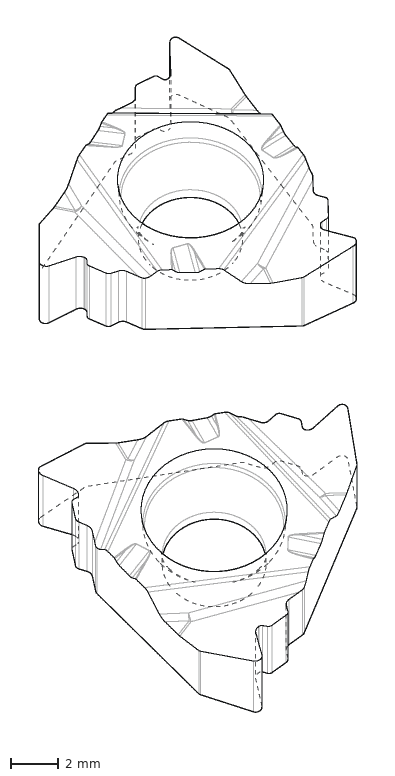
import cadquery as cq
import math

CORNERS = 3
TURN = 360 / CORNERS
HEIGHT = 4.1
SIDE_DISTANCE = 4.76
REACH = 26.82

SHOULDER_Y = -4.63
TOOTH_FLANK_ANGLE = 61.5
TOOTH_BACK_ANGLE = 60.5
TOOTH_APEX_X = -3.37
TOOTH_TIP_RADIUS = 0.27
GULLET_Y = -5.42
CREST_Y = -5.78
CREST_LEFT_X = -1.84
CREST_RIGHT_X = -0.8
STEP_Y = -5.18
STEP_ANGLE = 60.0
SHOULDER_RADIUS = 0.17
GULLET_ENTRY_RADIUS = 0.34
GULLET_EXIT_RADIUS = 0.15
CREST_LEFT_RADIUS = 0.2
CREST_RIGHT_RADIUS = 0.23
STEP_RADIUS = 0.34
STEP_END_RADIUS = 0.27

WALL_TOP_Y = -1.2
WALL_DIRECTION = -31.9
WALL_SLOPE = 53.0
WALL_TOP_RADIUS = 0.23
CHANNEL_FOOT_RADIUS = 0.36
RAKE_SLOPE = 15.0
FLOOR_START_Y = -3.3
FLOOR_Z = 3.02
FLOOR_DIP = 5.0

NOTCH_Y = 0.25
NOTCH_WIDTH = 0.85
NOTCH_DEPTH = 0.23
NOTCH_HEADING = 12.3
NOTCH_RISE = 10.0
NOTCH_ROLL = 1.0
NOTCH_WALL_SLOPE = 42.0
NOTCH_FOOT_RADIUS = 0.27
NOTCH_RIM_RADIUS = 0.07
NOTCH_CUT_HEIGHT = 0.8
NOTCH_CUT_LENGTH = 2.68
NOTCH_RIM_REACH = 1.61
EDGE_MARGIN = 0.01

HOLE_DIAMETER = 4.4
SEAT_DIAMETER = 6.17
SEAT_FOOT_RADIUS = 3.0
SEAT_CURVE_RADIUS = 4.02
SEAT_CURVE_START_Z = 0.55
SEAT_FILLET = 0.4


def tan(degrees):
    return math.tan(math.radians(degrees))


def turned(point, degrees):
    x, y = point
    c = math.cos(math.radians(degrees))
    s = math.sin(math.radians(degrees))
    return (x * c - y * s, x * s + y * c)


def corner_points():
    """Sharp corners of one third of the outline, each with its rounding radius."""
    apex_y = SHOULDER_Y - (TOOTH_APEX_X + SIDE_DISTANCE) * tan(TOOTH_FLANK_ANGLE)
    gullet_entry_x = TOOTH_APEX_X + (GULLET_Y - apex_y) / tan(TOOTH_BACK_ANGLE)
    gullet_exit_x = CREST_LEFT_X - (GULLET_Y - CREST_Y) / tan(STEP_ANGLE)
    step_x = CREST_RIGHT_X + (STEP_Y - CREST_Y) / tan(STEP_ANGLE)
    next_normal = turned((-1, 0), TURN)
    step_end_x = (SIDE_DISTANCE - STEP_Y * next_normal[1]) / next_normal[0]
    return [
        ((-SIDE_DISTANCE, SHOULDER_Y), SHOULDER_RADIUS),
        ((TOOTH_APEX_X, apex_y), TOOTH_TIP_RADIUS),
        ((gullet_entry_x, GULLET_Y), GULLET_ENTRY_RADIUS),
        ((gullet_exit_x, GULLET_Y), GULLET_EXIT_RADIUS),
        ((CREST_LEFT_X, CREST_Y), CREST_LEFT_RADIUS),
        ((CREST_RIGHT_X, CREST_Y), CREST_RIGHT_RADIUS),
        ((step_x, STEP_Y), STEP_RADIUS),
        ((step_end_x, STEP_Y), STEP_END_RADIUS),
    ]


def rounding_arc(before, corner, after, radius):
    """Start, middle and end of the arc that rounds a corner."""
    corner = cq.Vector(*corner)
    back = (cq.Vector(*before) - corner).normalized()
    ahead = (cq.Vector(*after) - corner).normalized()
    half_angle = back.getAngle(ahead) / 2
    tangent_length = radius / math.tan(half_angle)
    middle_distance = radius / math.sin(half_angle) - radius
    inward = (back + ahead).normalized()
    return (
        corner + back * tangent_length,
        corner + inward * middle_distance,
        corner + ahead * tangent_length,
    )


def make_body():
    corners = []
    for k in range(CORNERS):
        for point, radius in corner_points():
            corners.append((turned(point, k * TURN), radius))
    arcs = []
    for i, (point, radius) in enumerate(corners):
        before = corners[i - 1][0]
        after = corners[(i + 1) % len(corners)][0]
        arcs.append(rounding_arc(before, point, after, radius))
    outline = cq.Workplane("XY").moveTo(*arcs[-1][2].toTuple()[:2])
    for start, middle, end in arcs:
        outline = outline.lineTo(start.x, start.y)
        outline = outline.threePointArc((middle.x, middle.y), (end.x, end.y))
    return outline.close().extrude(HEIGHT)


def space_above(point, normal):
    """A large block that fills the side of a plane to which its normal points."""
    plane = cq.Plane(origin=point, normal=normal)
    return cq.Workplane(plane).rect(REACH, REACH).extrude(REACH)


def make_channel():
    """The space above the wall, rake and floor planes, with the edges between them rounded."""
    outward = turned((0, -1), WALL_DIRECTION)
    steepness = tan(WALL_SLOPE)
    wall_normal = (outward[0] * steepness, outward[1] * steepness, 1)
    floor_start = (-SIDE_DISTANCE, FLOOR_START_Y, FLOOR_Z)
    wall = space_above((-SIDE_DISTANCE, WALL_TOP_Y, HEIGHT), wall_normal)
    rake = space_above(floor_start, (0, tan(RAKE_SLOPE), 1))
    floor = space_above(floor_start, (tan(FLOOR_DIP), 0, 1))
    channel = wall.intersect(rake).intersect(floor)
    return channel.vertices("<Z").ancestors("Edge").fillet(CHANNEL_FOOT_RADIUS)


def make_notch():
    """A flaring trough that runs inward and upward until it fades out in the top face."""
    heading = math.radians(NOTCH_HEADING)
    axis = (math.cos(heading), math.sin(heading), tan(NOTCH_RISE))
    across = (-math.sin(heading), math.cos(heading), 0)
    start = (-SIDE_DISTANCE, NOTCH_Y, HEIGHT - NOTCH_DEPTH)
    plane = cq.Plane(origin=start, xDir=across, normal=axis).rotated((0, 0, NOTCH_ROLL))
    half_bottom = NOTCH_WIDTH / 2
    half_top = half_bottom + NOTCH_CUT_HEIGHT / tan(NOTCH_WALL_SLOPE)
    section = [
        (-half_bottom, 0),
        (half_bottom, 0),
        (half_top, NOTCH_CUT_HEIGHT),
        (-half_top, NOTCH_CUT_HEIGHT),
    ]
    notch = cq.Workplane(plane).polyline(section).close().extrude(NOTCH_CUT_LENGTH, both=True)
    for x in (-half_bottom, half_bottom):
        foot = cq.NearestToPointSelector(plane.toWorldCoords((x, 0, 0)).toTuple())
        notch = notch.edges(foot).fillet(NOTCH_FOOT_RADIUS)
    return notch


def make_hole():
    """Tapered seat, rounded lead-in and straight hole, turned about the Z axis."""
    hole_radius = HOLE_DIAMETER / 2
    foot_angle = math.acos(1 - (SEAT_FOOT_RADIUS - hole_radius) / SEAT_CURVE_RADIUS)

    def on_curve(angle):
        return (
            hole_radius + SEAT_CURVE_RADIUS * (1 - math.cos(angle)),
            SEAT_CURVE_START_Z + SEAT_CURVE_RADIUS * math.sin(angle),
        )

    foot = on_curve(foot_angle)
    hole = (
        cq.Workplane("XZ")
        .lineTo(hole_radius, 0)
        .lineTo(hole_radius, SEAT_CURVE_START_Z)
        .threePointArc(on_curve(foot_angle / 2), foot)
        .lineTo(SEAT_DIAMETER / 2, HEIGHT)
        .lineTo(0, HEIGHT)
        .close()
        .revolve(360, (0, 0), (0, 1))
    )
    return hole.faces("%CONE").edges("<Z").fillet(SEAT_FILLET)


def wall_top_edge():
    """Selects the sharp edge between the top face and the channel wall."""
    distance_in = SIDE_DISTANCE / 2
    y = WALL_TOP_Y + distance_in * tan(WALL_DIRECTION)
    return cq.NearestToPointSelector((distance_in - SIDE_DISTANCE, y, HEIGHT))


def notch_rim():
    """Selects the edges of the notch in the top face, but not the edge along the flat side."""
    return cq.selectors.BoxSelector(
        (EDGE_MARGIN - SIDE_DISTANCE, NOTCH_Y - NOTCH_RIM_REACH, HEIGHT - EDGE_MARGIN),
        (NOTCH_RIM_REACH - SIDE_DISTANCE, NOTCH_Y + NOTCH_RIM_REACH, HEIGHT + EDGE_MARGIN),
    )


channel = make_channel()
notch = make_notch()
body = make_body()
for _ in range(CORNERS):
    body = body.cut(channel)
    body = body.edges(wall_top_edge()).fillet(WALL_TOP_RADIUS)
    body = body.cut(notch)
    body = body.faces(">Z").edges(notch_rim()).fillet(NOTCH_RIM_RADIUS)
    body = body.rotate((0, 0, 0), (0, 0, 1), TURN)

result = body.cut(make_hole())